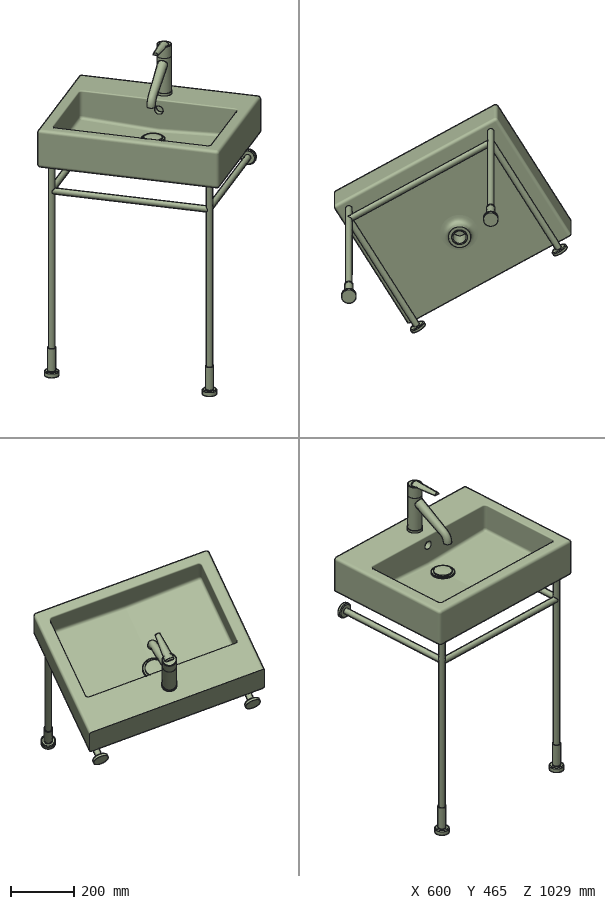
import cadquery as cq
import math


BASIN_WIDTH = 600.0
BASIN_DEPTH = 465.0
BASIN_TOP = 850.0
BASIN_HEIGHT = 129.0
BASIN_ROUND = 10.0
BASIN_BOTTOM = BASIN_TOP - BASIN_HEIGHT

BOWL_WIDTH = 519.0
BOWL_BACK = -121.0
BOWL_FRONT = -426.0
BOWL_SIDE_DEPTH = 96.0
BOWL_VALLEY_DEPTH = 108.0
BOWL_ROUND = 10.0
BOWL_RIM_ROUND = 4.0
OVERFLOW_DIA = 28.0
OVERFLOW_DEPTH = 21.0
OVERFLOW_Z = 815.0
VALLEY_Z = BASIN_TOP - BOWL_VALLEY_DEPTH
SELECT_MARGIN = 1.0

DRAIN_Y = -186.0
OUTLET_DIA = 71.0
OUTLET_BOTTOM = 685.0
OUTLET_FLARE_WIDTH = 25.0
OUTLET_FLARE_HEIGHT = 20.0
DRAIN_FLANGE_DIA = 76.0
DRAIN_FLANGE_RISE = 4.0
DRAIN_FLANGE_CHAMFER = 2.0
DRAIN_TUBE_DIA = 50.0
DRAIN_BORE_DIA = 42.0
DRAIN_RIM_Z = VALLEY_Z + DRAIN_FLANGE_RISE
PLUG_DIA = 60.0
PLUG_EDGE = 4.0
PLUG_DOME = 2.0

TAP_Y = -63.0
TAP_DIA = 46.0
TAP_BASE_DIA = 49.0
TAP_BASE_HEIGHT = 8.0
CAP_BOTTOM = 979.0
CAP_TOP = 1020.0
CAP_CHAMFER = 2.0
SPOUT_SLOPE = 30.0
SPOUT_ROOT_DIA = 33.0
SPOUT_ROOT_OFFSET = 15.0
NOZZLE_DIA = 27.0
NOZZLE_Y = -207.0
NOZZLE_BOTTOM = 863.0
NOZZLE_BEND = 36.0
LEVER_REAR_DIA = 35.0
LEVER_TIP_DIA = 16.0
LEVER_REAR_Y = -64.0
LEVER_LENGTH = 97.0
LEVER_TILT = 4.9
LEVER_BEVEL_DIA = 30.0
LEVER_BEVEL_LENGTH = 5.0
LEVER_TOP = 1029.0

LEG_DIA = 22.0
LEG_X = 260.0
LEG_Y = -434.0
RAIL_DIA = 21.0
FRONT_RAIL_Z = 635.0
SIDE_RAIL_Z = 639.0
ROSE_DIA = 50.0
ROSE_THICKNESS = 11.0
ROSE_CHAMFER = 3.0
FOOT_DIA = 46.0
FOOT_HEIGHT = 16.0
FOOT_CHAMFER = 3.0
SLEEVE_DIA = 27.0
SLEEVE_TOP = 96.0


def rod(diameter, start, end):
    """Round bar between two points."""
    axis = cq.Vector(*end) - cq.Vector(*start)
    return cq.Workplane(cq.Solid.makeCylinder(diameter / 2, axis.Length, cq.Vector(*start), axis))


def cone(start_diameter, end_diameter, start, end):
    """Tapered round bar between two points."""
    axis = cq.Vector(*end) - cq.Vector(*start)
    return cq.Workplane(
        cq.Solid.makeCone(start_diameter / 2, end_diameter / 2, axis.Length, cq.Vector(*start), axis)
    )


def make_bowl():
    """Volume of the bowl, with rounded corners and a rounded foot to its walls."""
    half = BOWL_WIDTH / 2
    side_z = BASIN_TOP - BOWL_SIDE_DEPTH
    bowl = (
        cq.Workplane("XZ", origin=(0, BOWL_BACK, 0))
        .polyline([(-half, BASIN_TOP), (-half, side_z), (0, VALLEY_Z), (half, side_z), (half, BASIN_TOP)])
        .close()
        .extrude(BOWL_BACK - BOWL_FRONT)
    )
    bowl = bowl.edges("|Z").fillet(BOWL_ROUND)
    floor_edges = cq.selectors.BoxSelector(
        (-BOWL_WIDTH, -BASIN_DEPTH, VALLEY_Z + SELECT_MARGIN), (BOWL_WIDTH, 0, side_z + SELECT_MARGIN)
    )
    return bowl.edges(floor_edges).fillet(BOWL_ROUND)


def make_basin():
    """Rounded slab with the bowl, overflow hole and waste outlet; its back is flat to the wall."""
    basin = (
        cq.Workplane("XY", origin=(0, -BASIN_DEPTH / 2, BASIN_BOTTOM))
        .rect(BASIN_WIDTH, BASIN_DEPTH)
        .extrude(BASIN_HEIGHT)
    )
    basin = basin.edges("not >Y").fillet(BASIN_ROUND)
    basin = basin.cut(make_bowl())

    rim = cq.selectors.BoxSelector(
        (-BOWL_WIDTH / 2 - SELECT_MARGIN, BOWL_FRONT - SELECT_MARGIN, BASIN_TOP - SELECT_MARGIN),
        (BOWL_WIDTH / 2 + SELECT_MARGIN, BOWL_BACK + SELECT_MARGIN, BASIN_TOP + SELECT_MARGIN),
    )
    basin = basin.edges(rim).fillet(BOWL_RIM_ROUND)

    overflow = rod(OVERFLOW_DIA, (0, BOWL_FRONT / 2, OVERFLOW_Z), (0, BOWL_BACK + OVERFLOW_DEPTH, OVERFLOW_Z))
    return basin.cut(overflow).union(make_outlet()).cut(make_drain_hole())


def make_outlet():
    """Spigot under the basin, flaring into its underside."""
    radius = OUTLET_DIA / 2
    flare_radius = radius + OUTLET_FLARE_WIDTH
    return (
        cq.Workplane("XZ", origin=(0, DRAIN_Y, 0))
        .moveTo(0, OUTLET_BOTTOM)
        .lineTo(radius, OUTLET_BOTTOM)
        .lineTo(radius, BASIN_BOTTOM - OUTLET_FLARE_HEIGHT)
        .spline([(flare_radius, BASIN_BOTTOM)], tangents=[(0, 1), (1, 0)], includeCurrent=True)
        .lineTo(flare_radius, BASIN_BOTTOM + BASIN_ROUND)
        .lineTo(0, BASIN_BOTTOM + BASIN_ROUND)
        .close()
        .revolve(360, (0, 0), (0, 1))
    )


def make_drain_hole():
    """Bore for the drain tube, with a flat seat for the drain flange."""
    tube_bore = rod(DRAIN_TUBE_DIA, (0, DRAIN_Y, OUTLET_BOTTOM), (0, DRAIN_Y, BASIN_TOP))
    seat = rod(DRAIN_FLANGE_DIA, (0, DRAIN_Y, VALLEY_Z), (0, DRAIN_Y, BASIN_TOP))
    return tube_bore.union(seat)


def make_drain():
    """Flanged tube through the outlet."""
    tube = rod(DRAIN_TUBE_DIA, (0, DRAIN_Y, OUTLET_BOTTOM), (0, DRAIN_Y, VALLEY_Z))
    flange = rod(DRAIN_FLANGE_DIA, (0, DRAIN_Y, VALLEY_Z), (0, DRAIN_Y, DRAIN_RIM_Z))
    flange = flange.faces(">Z").chamfer(DRAIN_FLANGE_CHAMFER)
    bore = rod(DRAIN_BORE_DIA, (0, DRAIN_Y, OUTLET_BOTTOM), (0, DRAIN_Y, DRAIN_RIM_Z))
    return tube.union(flange).cut(bore)


def make_plug():
    """Domed disc resting on the drain flange."""
    radius = PLUG_DIA / 2
    dome_top = PLUG_EDGE + PLUG_DOME
    return (
        cq.Workplane("XZ", origin=(0, DRAIN_Y, DRAIN_RIM_Z))
        .lineTo(radius, 0)
        .lineTo(radius, PLUG_EDGE)
        .spline([(0, dome_top)], tangents=[(-radius, 2 * PLUG_DOME), (-1, 0)], includeCurrent=True)
        .close()
        .revolve(360, (0, 0), (0, 1))
    )


def make_tap_body():
    """Upright on a base ring, with a tapered sloping spout and a nozzle bent downwards."""
    base = rod(TAP_BASE_DIA, (0, TAP_Y, BASIN_TOP), (0, TAP_Y, BASIN_TOP + TAP_BASE_HEIGHT))
    upright = rod(TAP_DIA, (0, TAP_Y, BASIN_TOP), (0, TAP_Y, CAP_BOTTOM))

    slope = math.radians(SPOUT_SLOPE)
    centre_y = NOZZLE_Y + NOZZLE_BEND
    bend_y = centre_y - NOZZLE_BEND * math.sin(slope)
    bend_z = NOZZLE_BOTTOM + NOZZLE_BEND * math.cos(slope)
    root_y = TAP_Y - SPOUT_ROOT_OFFSET
    root_z = bend_z + (root_y - bend_y) * math.tan(slope)
    spout = cone(SPOUT_ROOT_DIA, NOZZLE_DIA, (0, root_y, root_z), (0, bend_y, bend_z))

    nozzle_turn = 90 - SPOUT_SLOPE
    nozzle = (
        cq.Workplane("XY", origin=(0, NOZZLE_Y, NOZZLE_BOTTOM))
        .circle(NOZZLE_DIA / 2)
        .revolve(nozzle_turn, (10, NOZZLE_BEND), (0, NOZZLE_BEND))
    )
    return base.union(upright).union(spout).union(nozzle)


def make_tap_handle():
    """Cap over the upright, with a tapered lever lying on it and reaching over the bowl."""
    cap = rod(TAP_DIA, (0, TAP_Y, CAP_BOTTOM), (0, TAP_Y, CAP_TOP)).faces(">Z").chamfer(CAP_CHAMFER)
    tilt = math.radians(LEVER_TILT)
    axis = cq.Vector(0, -math.cos(tilt), math.sin(tilt))
    lever_rear = cq.Vector(0, LEVER_REAR_Y, LEVER_TOP - LEVER_REAR_DIA / 2 * math.cos(tilt))
    lever_tip = lever_rear + axis * LEVER_LENGTH
    bevel_end = lever_rear - axis * LEVER_BEVEL_LENGTH
    lever = cone(LEVER_REAR_DIA, LEVER_TIP_DIA, lever_rear.toTuple(), lever_tip.toTuple()).union(
        cone(LEVER_REAR_DIA, LEVER_BEVEL_DIA, lever_rear.toTuple(), bevel_end.toTuple())
    )
    above_cap = (
        cq.Workplane("XY", origin=(0, TAP_Y, CAP_TOP))
        .rect(BASIN_WIDTH, BASIN_DEPTH)
        .extrude(LEVER_REAR_DIA)
    )
    return cap.union(lever.intersect(above_cap))


def make_wall_rose(x):
    """Chamfered wall flange of one side rail."""
    rose = rod(ROSE_DIA, (x, 0, SIDE_RAIL_Z), (x, -ROSE_THICKNESS, SIDE_RAIL_Z))
    return rose.faces("<Y").chamfer(ROSE_CHAMFER)


def make_frame():
    """Two legs, each tied to the wall by a side rail, joined by a front rail."""
    frame = rod(RAIL_DIA, (-LEG_X, LEG_Y, FRONT_RAIL_Z), (LEG_X, LEG_Y, FRONT_RAIL_Z))
    for x in (-LEG_X, LEG_X):
        leg = rod(LEG_DIA, (x, LEG_Y, FOOT_HEIGHT), (x, LEG_Y, BASIN_BOTTOM))
        side_rail = rod(RAIL_DIA, (x, LEG_Y, SIDE_RAIL_Z), (x, 0, SIDE_RAIL_Z))
        frame = frame.union(leg).union(side_rail).union(make_wall_rose(x))
    return frame


def make_foot(x):
    """Chamfered floor disc with a sleeve around the lower end of a leg."""
    disc = rod(FOOT_DIA, (x, LEG_Y, 0), (x, LEG_Y, FOOT_HEIGHT)).faces(">Z").chamfer(FOOT_CHAMFER)
    sleeve = rod(SLEEVE_DIA, (x, LEG_Y, 0), (x, LEG_Y, SLEEVE_TOP))
    socket = rod(LEG_DIA, (x, LEG_Y, FOOT_HEIGHT), (x, LEG_Y, SLEEVE_TOP))
    return disc.union(sleeve).cut(socket)


basin = make_basin()
drain = make_drain()
plug = make_plug()
tap_body = make_tap_body()
tap_handle = make_tap_handle()
frame = make_frame()
feet = [make_foot(x) for x in (-LEG_X, LEG_X)]

result = cq.Compound.makeCompound(
    [
        basin.val(),
        drain.val(),
        plug.val(),
        tap_body.val(),
        tap_handle.val(),
        frame.val(),
        *[foot.val() for foot in feet],
    ]
)